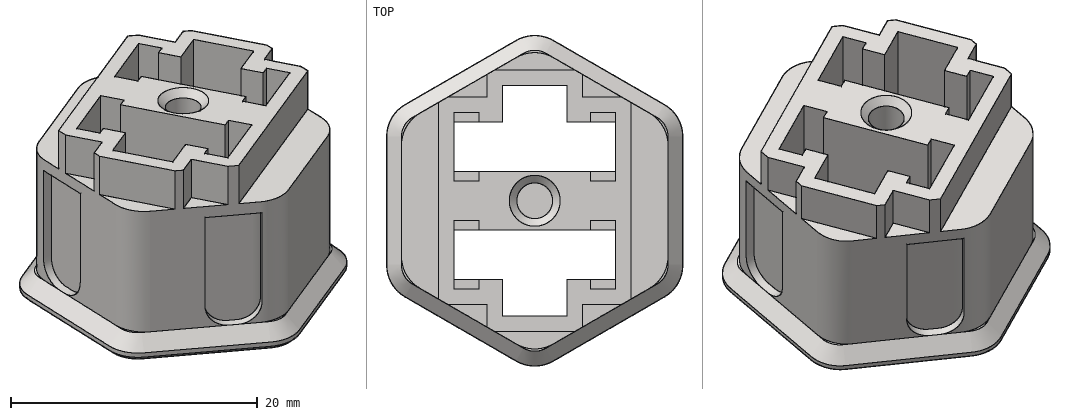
import cadquery as cq
import math

flange_across_flats = 24.0
corner_radius = 3.0
flange_height = 2.0
flange_top_chamfer = 1.2
flange_bottom_chamfer = 0.4
body_across_flats = flange_across_flats - 2 * flange_top_chamfer
body_top = 13.4
total_height = 17.0

collar_half_x = 7.8
collar_half_y = 8.4
arm_half_x = 3.85
arm_half_y = 10.58

wall = 1.25
socket_half_x = collar_half_x - wall
socket_outer_y = collar_half_y - wall
socket_inner_y = 1.6
ledge_length = 2.0
ledge_width = 0.78
ledge_z = flange_height
arm_socket_half_x = arm_half_x - wall
arm_socket_outer_y = arm_half_y - wall

hole_diameter = 2.9
countersink_diameter = 4.12
hole_bottom_z = flange_height

recess_width = 4.69
recess_depth = 0.75
recess_top = 12.35
recess_bottom_radius = 1.98

recess_directions = {60: -1, 120: 1, 240: -1, 300: 1}


def rounded_hexagon(across_flats, bottom, top):
    """Hexagonal prism with corners on the Y axis and rounded vertical edges."""
    across_corners = across_flats / math.cos(math.radians(30))
    return (
        cq.Workplane("XY", origin=(0, 0, bottom))
        .transformed(rotate=(0, 0, 90))
        .polygon(6, across_corners)
        .extrude(top - bottom)
        .edges("|Z")
        .fillet(corner_radius)
    )


def block(x_min, x_max, y_min, y_max, bottom, top):
    """Box given by its limits along each axis."""
    return (
        cq.Workplane("XY", origin=((x_min + x_max) / 2, (y_min + y_max) / 2, bottom))
        .rect(x_max - x_min, y_max - y_min)
        .extrude(top - bottom)
    )


def make_flange():
    """Base flange with a wide top chamfer and a small bottom chamfer."""
    flange = rounded_hexagon(flange_across_flats, 0, flange_height)
    flange = flange.faces(">Z").chamfer(flange_top_chamfer)
    return flange.faces("<Z").chamfer(flange_bottom_chamfer)


def make_collar():
    """Cross-shaped collar, trimmed where it would overhang the body."""
    main = block(-collar_half_x, collar_half_x, -collar_half_y, collar_half_y, body_top, total_height)
    arms = block(-arm_half_x, arm_half_x, -arm_half_y, arm_half_y, body_top, total_height)
    return main.union(arms).intersect(rounded_hexagon(body_across_flats, body_top, total_height))


def make_socket():
    """Through socket on the +Y side, with ledges in its four corners."""
    through_inner_y = socket_inner_y + ledge_width
    through_outer_y = socket_outer_y - ledge_width
    socket = block(-socket_half_x, socket_half_x, through_inner_y, through_outer_y, 0, total_height)
    socket = socket.union(
        block(-arm_socket_half_x, arm_socket_half_x, through_inner_y, arm_socket_outer_y, 0, total_height)
    )
    ledge_inner_x = socket_half_x - ledge_length
    for x_min, x_max in ((-socket_half_x, -ledge_inner_x), (ledge_inner_x, socket_half_x)):
        socket = socket.union(block(x_min, x_max, socket_inner_y, socket_outer_y, ledge_z, total_height))
    return socket


def make_screw_hole():
    """Blind hole on the Z axis with a 45 degree countersink."""
    radius = hole_diameter / 2
    countersink_radius = countersink_diameter / 2
    countersink_depth = countersink_radius - radius
    profile = [
        (0, hole_bottom_z),
        (radius, hole_bottom_z),
        (radius, total_height - countersink_depth),
        (countersink_radius, total_height),
        (0, total_height),
    ]
    return cq.Workplane("XZ").polyline(profile).close().revolve(360, (0, 0), (0, 1))


def make_recess(face_angle, direction, core):
    """Recess from the middle of a slanted face toward its X-side corner, with the core as its floor."""
    start_y, end_y = sorted((0, direction * recess_width))
    cutter = (
        block(0, body_across_flats, start_y, end_y, flange_height, recess_top)
        .edges("|X and <Z")
        .fillet(recess_bottom_radius)
    )
    return cutter.rotate((0, 0, 0), (0, 0, 1), face_angle).cut(core)


body = rounded_hexagon(body_across_flats, 0, body_top)
recess_core = rounded_hexagon(body_across_flats - 2 * recess_depth, 0, total_height)
for angle, direction in recess_directions.items():
    body = body.cut(make_recess(angle, direction, recess_core))

result = make_flange().union(body).union(make_collar())

upper_socket = make_socket()
result = result.cut(upper_socket).cut(upper_socket.mirror("XZ")).cut(make_screw_hole())